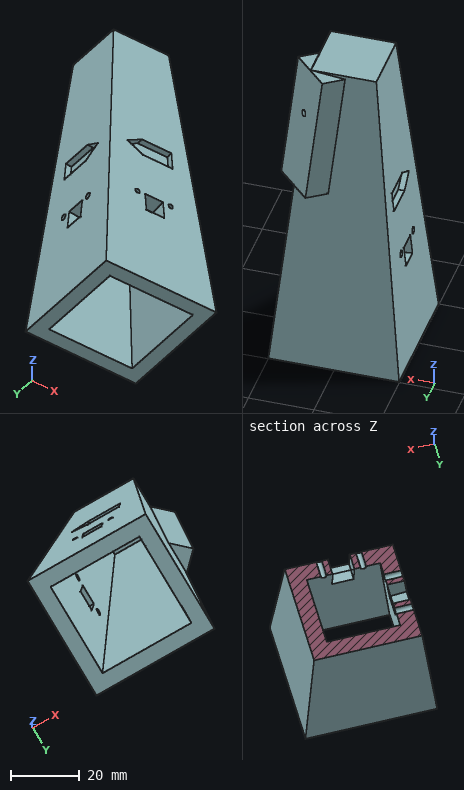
import cadquery as cq
import math

height = 100.0
base_side = 39.9
top_side = 20.0
cavity_base_side = 30.0
cavity_top_side = 10.0
cavity_height = 90.0

face_run = (base_side - top_side) / 2
face_lean = math.degrees(math.atan(face_run / height))
edge_lean = math.degrees(math.atan(face_run * math.sqrt(2) / height))

block_width = 15.0
block_length = 40.0
block_depth = 8.0
block_proud = 0.2
block_radius = top_side / math.sqrt(2) + block_proud

block_hole_diameter = 2.0
block_hole_from_top = 15.0
block_hole_depth = 9.0

arrow_tip = 8.2
arrow_tail = 7.9
arrow_shoulder = 2.8
arrow_height = 6.4
arrow_z = 55.6
arrow_depth = 2.0

window_side = 6.5
window_z = 33.0
pin_x = 6.0
pin_z = 36.0
front_pin_diameter = 1.6
side_pin_diameter = 2.0
through_wall = 8.0


def make_frustum(lower_side, upper_side, rise):
    return (
        cq.Workplane("XY")
        .rect(lower_side, lower_side)
        .workplane(offset=rise)
        .rect(upper_side, upper_side)
        .loft(ruled=True)
    )


def place_on_corner(shape):
    """Lean a shape back to the corner edge and turn it onto the +X +Y corner.

    The shape is modelled upright: its outer face is the plane X = 0 and its top is at Z = 0.
    """
    leaned = shape.rotate((0, 0, 0), (0, 1, 0), -edge_lean)
    return leaned.translate((block_radius, 0, height)).rotate((0, 0, 0), (0, 0, 1), 45)


def make_block():
    block = cq.Workplane("XY").box(block_depth, block_width, block_length)
    return place_on_corner(block.translate((-block_depth / 2, 0, -block_length / 2)))


def make_block_hole():
    hole = (
        cq.Workplane("YZ")
        .center(0, -block_hole_from_top)
        .circle(block_hole_diameter / 2)
        .extrude(-block_hole_depth)
    )
    return place_on_corner(hole)


def face_workplane(z):
    """Workplane on the sloping -Y face at height z, with its normal pointing out."""
    lean = math.radians(face_lean)
    y = -base_side / 2 + z * math.tan(lean)
    normal = (0, -math.cos(lean), math.sin(lean))
    return cq.Workplane(cq.Plane(origin=(0, y, z), xDir=(1, 0, 0), normal=normal))


def make_face_cuts(pin_diameter):
    half_height = arrow_height / 2
    arrow = (
        face_workplane(arrow_z)
        .moveTo(-arrow_tip, 0)
        .lineTo(-arrow_shoulder, half_height)
        .lineTo(arrow_tail, half_height)
        .lineTo(arrow_tail, -half_height)
        .lineTo(-arrow_shoulder, -half_height)
        .close()
        .extrude(-arrow_depth)
    )
    window = face_workplane(window_z).rect(window_side, window_side).extrude(-through_wall)
    pins = (
        face_workplane(pin_z)
        .pushPoints([(-pin_x, 0), (pin_x, 0)])
        .circle(pin_diameter / 2)
        .extrude(-through_wall)
    )
    return arrow.union(window).union(pins)


tower = make_frustum(base_side, top_side, height)
cavity = make_frustum(cavity_base_side, cavity_top_side, cavity_height)

front_cuts = make_face_cuts(front_pin_diameter)
side_cuts = make_face_cuts(side_pin_diameter).mirror("YZ").rotate((0, 0, 0), (0, 0, 1), -90)

result = (
    tower.union(make_block())
    .cut(cavity)
    .cut(make_block_hole())
    .cut(front_cuts)
    .cut(side_cuts)
)